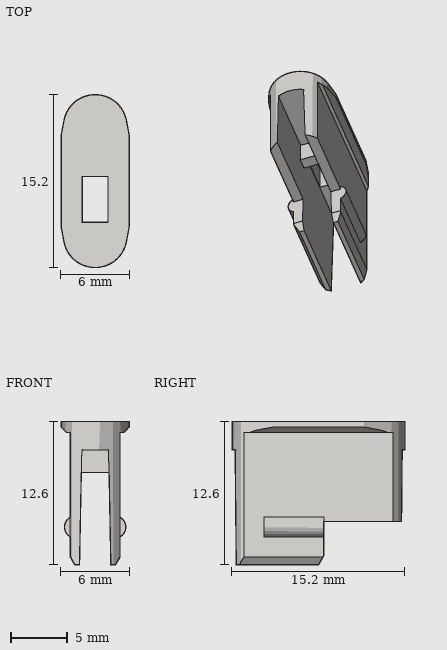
import cadquery as cq
import math

head_half_width = 3.0
half_length = 7.6
head_thickness = 1.0
side_half_length = 4.0
end_radius = 2.8
end_center = half_length - end_radius
head_chamfer = 0.5

body_half_width = 2.19
total_height = 12.6
short_height = 8.8
step_y = 0.45

slot_roof_depth = 2.5
slot_roof_half_width = 1.17
slot_draft = 1.1

window_width = 2.25
window_length = 4.0
window_end_y = 0.4

wall_depth = 4.5
wall_thickness = 1.0

bevel_height = 0.7
bevel_inset = 0.4
step_bevel_height = 0.8
step_bevel_inset = 0.46

ridge_radius = 0.98
ridge_reach = 2.7
ridge_depth = 9.28
ridge_length = 5.25


def box(x_min, x_max, y_min, y_max, z_min, z_max):
    """Axis-aligned block between the given limits."""
    size = (x_max - x_min, y_max - y_min, z_max - z_min)
    return cq.Workplane("XY").box(*size, centered=False).translate((x_min, y_min, z_min))


def prism_along_y(points, y_min, y_max):
    """XZ polygon extruded from y_min to y_max."""
    profile = cq.Workplane("XZ", origin=(0, y_max, 0)).polyline(points).close()
    return profile.extrude(y_max - y_min)


def outline_prism(height):
    """Head outline extruded down: straight sides, tapering flanks, tangent round ends."""
    corner_dy = side_half_length - end_center
    corner_distance = math.hypot(head_half_width, corner_dy)
    tangent_angle = math.atan2(corner_dy, head_half_width) + math.acos(end_radius / corner_distance)
    tangent_x = end_radius * math.cos(tangent_angle)
    tangent_y = end_center + end_radius * math.sin(tangent_angle)
    return (
        cq.Workplane("XY")
        .moveTo(head_half_width, -side_half_length)
        .lineTo(head_half_width, side_half_length)
        .lineTo(tangent_x, tangent_y)
        .threePointArc((0, half_length), (-tangent_x, tangent_y))
        .lineTo(-head_half_width, side_half_length)
        .lineTo(-head_half_width, -side_half_length)
        .lineTo(-tangent_x, -tangent_y)
        .threePointArc((0, -half_length), (tangent_x, -tangent_y))
        .close()
        .extrude(-height)
    )


def make_head():
    """Head plate with its long lower edges chamfered."""
    lower_half_width = head_half_width - head_chamfer
    chamfer_top = head_chamfer - head_thickness
    section = [
        (-head_half_width, 0),
        (head_half_width, 0),
        (head_half_width, chamfer_top),
        (lower_half_width, -head_thickness),
        (-lower_half_width, -head_thickness),
        (-head_half_width, chamfer_top),
    ]
    return outline_prism(head_thickness).intersect(prism_along_y(section, -half_length, half_length))


def make_body():
    """Short +Y half and long -Y half, the latter bevelled on its sides and its +Y face."""
    tip_half_width = body_half_width - bevel_inset
    bevel_top = bevel_height - total_height
    leg_section = [
        (-body_half_width, 0),
        (body_half_width, 0),
        (body_half_width, bevel_top),
        (tip_half_width, -total_height),
        (-tip_half_width, -total_height),
        (-body_half_width, bevel_top),
    ]
    legs = prism_along_y(leg_section, -half_length, step_y)
    step_bevel = (
        cq.Workplane("YZ", origin=(-body_half_width, 0, 0))
        .moveTo(step_y, step_bevel_height - total_height)
        .lineTo(step_y, -total_height)
        .lineTo(step_y - step_bevel_inset, -total_height)
        .close()
        .extrude(2 * body_half_width)
    )
    short_half = box(-body_half_width, body_half_width, step_y, half_length, -short_height, 0)
    return outline_prism(total_height).intersect(legs.cut(step_bevel).union(short_half))


def make_slot():
    """Slot through the full length, widening downward."""
    widening = (total_height - slot_roof_depth) * math.tan(math.radians(slot_draft))
    mouth_half_width = slot_roof_half_width + widening
    section = [
        (-slot_roof_half_width, -slot_roof_depth),
        (slot_roof_half_width, -slot_roof_depth),
        (mouth_half_width, -total_height),
        (-mouth_half_width, -total_height),
    ]
    return prism_along_y(section, -half_length, half_length)


def make_window():
    """Rectangular opening from the top face into the slot."""
    half = window_width / 2
    return box(-half, half, window_end_y - window_length, window_end_y, -slot_roof_depth, 0)


def make_cross_wall():
    """Wall bridging the slot behind the window."""
    wall_end = step_y + wall_thickness
    return box(-body_half_width, body_half_width, step_y, wall_end, -wall_depth, -head_thickness)


def make_ridge(side):
    """Part-round ridge along Y on one leg; side is +1 or -1 in X."""
    rod = (
        cq.Workplane("XZ", origin=(0, step_y, 0))
        .center(side * (ridge_reach - ridge_radius), -ridge_depth)
        .circle(ridge_radius)
        .extrude(ridge_length)
    )
    keep_from = (slot_roof_half_width + body_half_width) / 2
    inner, outer = sorted((side * keep_from, side * ridge_reach))
    return rod.intersect(box(inner, outer, -half_length, step_y, -total_height, 0))


result = make_head().union(make_body())
result = result.cut(make_slot()).cut(make_window())
result = result.union(make_cross_wall())
for ridge_side in (-1, 1):
    result = result.union(make_ridge(ridge_side))